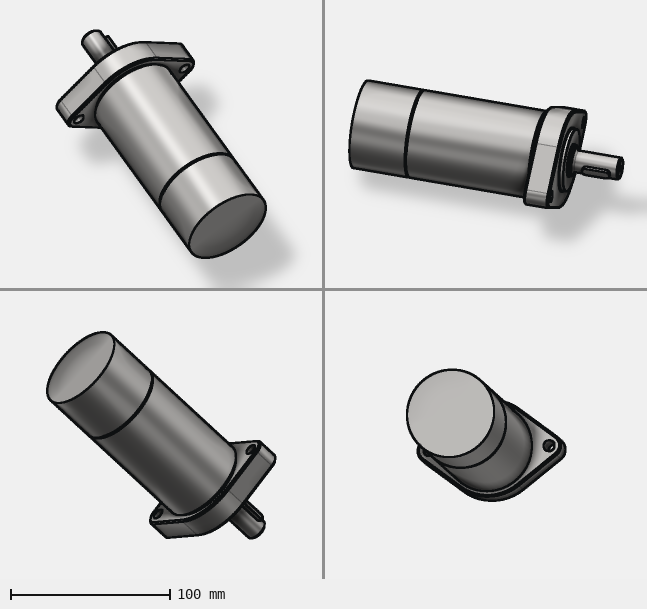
import cadquery as cq
import math

total_length = 169.1

shaft_radius = 14 / 2
shaft_tip_chamfer = 1.0
centre_hole_radius = 3.4 / 2
centre_drill_radius = 1.5 / 2
centre_drill_depth = 3.0

key_start = 5.0
key_length = 18.0
key_width = 5.0
key_top = 9.0

seal_start = 28.3
seal_lip_fillet = 1.5
seal_lip_radius = 17.8 / 2
seal_ring_start = 30.8
seal_ring_radius = 19.95 / 2
seal_recess_radius = 20.9 / 2
seal_recess_depth = 0.5

pilot_start = 32.0
pilot_radius = 40 / 2
pilot_chamfer = 0.2
pilot_recess_radius = 41 / 2
pilot_recess_depth = 0.3

flange_start = 34.7
flange_thickness = 16.0
flange_centre_radius = 62 / 2
flange_ear_radius = 7.5
flange_ear_offset = 77 / 2
flange_edge_chamfer = 1.0
mounting_hole_diameter = 7.0

housing_start = 52.7
core_radius = 52.62 / 2
housing_radius = 56 / 2
groove_start = 132.1
groove_width = 1.0

flange_end = flange_start + flange_thickness
groove_end = groove_start + groove_width
seal_ring_end = pilot_start + seal_recess_depth
seal_lip_start = seal_start + seal_lip_fillet


def cylinder(radius, start, end):
    """Solid cylinder on the X axis between two X positions."""
    return cq.Workplane("YZ").workplane(offset=start).circle(radius).extrude(end - start)


def make_shaft():
    return cylinder(shaft_radius, 0, pilot_start).faces("<X").chamfer(shaft_tip_chamfer)


def make_key():
    key_middle = key_start + key_length / 2
    return (
        cq.Workplane("XZ")
        .center(key_middle, 0)
        .slot2D(key_length, key_width)
        .extrude(-key_top)
    )


def make_seal():
    """Lip that flares from the shaft with a concave fillet, then a cone up to a plain ring."""
    fillet_top = shaft_radius + seal_lip_fillet
    fillet_half_step = seal_lip_fillet * math.cos(math.radians(45))
    fillet_mid_x = seal_start + fillet_half_step
    fillet_mid_y = fillet_top - fillet_half_step
    return (
        cq.Workplane("XY")
        .moveTo(seal_start, 0)
        .lineTo(seal_start, shaft_radius)
        .threePointArc((fillet_mid_x, fillet_mid_y), (seal_lip_start, fillet_top))
        .lineTo(seal_lip_start, seal_lip_radius)
        .lineTo(seal_ring_start, seal_ring_radius)
        .lineTo(seal_ring_end, seal_ring_radius)
        .lineTo(seal_ring_end, 0)
        .close()
        .revolve(360, (0, 0, 0), (1, 0, 0))
    )


def make_pilot():
    """Spigot chamfered at both ends, with a shallow recess in its front face around the seal."""
    spigot = cylinder(pilot_radius, pilot_start, flange_start).faces("<X or >X").chamfer(pilot_chamfer)
    root = cylinder(pilot_radius - pilot_chamfer, flange_start, flange_start + pilot_recess_depth)
    recess = cylinder(seal_recess_radius, pilot_start, pilot_start + seal_recess_depth)
    return spigot.union(root).cut(recess)


def flange_outline(workplane):
    """Large central arcs joined to the two ear arcs by tangent lines."""
    tangent_y = (flange_centre_radius - flange_ear_radius) / flange_ear_offset
    tangent_z = math.sqrt(1 - tangent_y**2)
    centre_y = flange_centre_radius * tangent_y
    centre_z = flange_centre_radius * tangent_z
    ear_y = flange_ear_offset + flange_ear_radius * tangent_y
    ear_z = flange_ear_radius * tangent_z
    ear_tip = flange_ear_offset + flange_ear_radius
    return (
        workplane.moveTo(-centre_y, centre_z)
        .threePointArc((0, flange_centre_radius), (centre_y, centre_z))
        .lineTo(ear_y, ear_z)
        .threePointArc((ear_tip, 0), (ear_y, -ear_z))
        .lineTo(centre_y, -centre_z)
        .threePointArc((0, -flange_centre_radius), (-centre_y, -centre_z))
        .lineTo(-ear_y, -ear_z)
        .threePointArc((-ear_tip, 0), (-ear_y, ear_z))
        .close()
    )


def make_flange():
    front = cq.Workplane("YZ").workplane(offset=flange_start)
    flange = flange_outline(front).extrude(flange_thickness)
    flange = flange.faces("<X or >X").chamfer(flange_edge_chamfer)
    holes = (
        front.pushPoints([(-flange_ear_offset, 0), (flange_ear_offset, 0)])
        .circle(mounting_hole_diameter / 2)
        .extrude(flange_thickness)
    )
    recess = cylinder(pilot_recess_radius, flange_start, flange_start + pilot_recess_depth)
    return flange.cut(holes).cut(recess)


def make_housing():
    """Core that shows at the neck and in the groove, carrying the gearbox and motor cans."""
    core = cylinder(core_radius, flange_end, total_length)
    front_can = cylinder(housing_radius, housing_start, groove_start)
    rear_can = cylinder(housing_radius, groove_end, total_length)
    return core.union(front_can).union(rear_can)


def make_centre_hole():
    """Conical mouth that narrows to a small blind drill hole."""
    cone_depth = centre_hole_radius - centre_drill_radius
    return (
        cq.Workplane("XY")
        .polyline(
            [
                (0, 0),
                (0, centre_hole_radius),
                (cone_depth, centre_drill_radius),
                (centre_drill_depth, centre_drill_radius),
                (centre_drill_depth, 0),
            ]
        )
        .close()
        .revolve(360, (0, 0, 0), (1, 0, 0))
    )


result = make_housing()
for section in (make_flange(), make_pilot(), make_seal(), make_shaft(), make_key()):
    result = result.union(section)
result = result.cut(make_centre_hole())